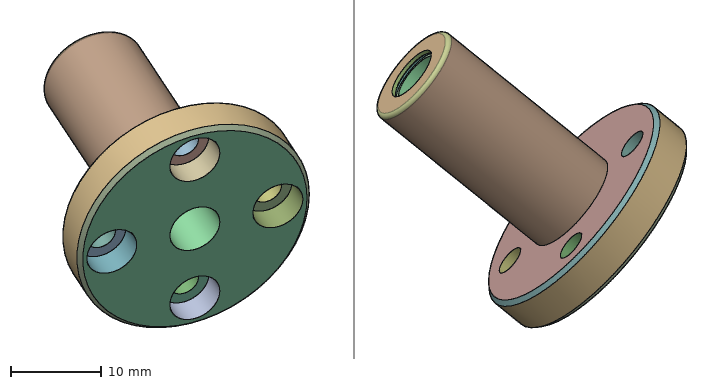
import cadquery as cq

tube_diameter = 12.0
tube_length = 24.0
tube_end_radius = 0.5

flange_diameter = 28.0
flange_thickness = 5.0
flange_chamfer = 0.5

bore_diameter = 6.0
mouth_diameter = 6.4
mouth_length = 0.5
groove_diameter = 6.8
groove_width = 0.3

mount_hole_diameter = 3.5
counterbore_diameter = 6.0
counterbore_depth = 3.1
mount_circle_diameter = 20.0
mount_hole_count = 4

total_length = tube_length + flange_thickness


def cylinder_along_x(diameter, start, length):
    """Solid cylinder centred on the X axis, from X = start."""
    return cq.Workplane("YZ", origin=(start, 0, 0)).circle(diameter / 2).extrude(length)


def make_tube():
    tube = cylinder_along_x(tube_diameter, 0, tube_length)
    return tube.faces("<X").edges().fillet(tube_end_radius)


def make_flange():
    flange = cylinder_along_x(flange_diameter, tube_length, flange_thickness)
    return flange.edges().chamfer(flange_chamfer)


def make_bore():
    bore = cylinder_along_x(bore_diameter, 0, total_length)
    mouth = cylinder_along_x(mouth_diameter, 0, mouth_length)
    groove = cylinder_along_x(groove_diameter, mouth_length, groove_width)
    return bore.union(mouth).union(groove)


def make_mount_circle(diameter, start):
    """Ring of equal cylinders on the mounting circle, from X = start to the flange's outer face."""
    return (
        cq.Workplane("YZ", origin=(start, 0, 0))
        .polarArray(mount_circle_diameter / 2, 0, 360, mount_hole_count)
        .circle(diameter / 2)
        .extrude(total_length - start)
    )


body = make_tube().union(make_flange())
mount_holes = make_mount_circle(mount_hole_diameter, tube_length)
counterbores = make_mount_circle(counterbore_diameter, total_length - counterbore_depth)

result = body.cut(make_bore()).cut(mount_holes).cut(counterbores)